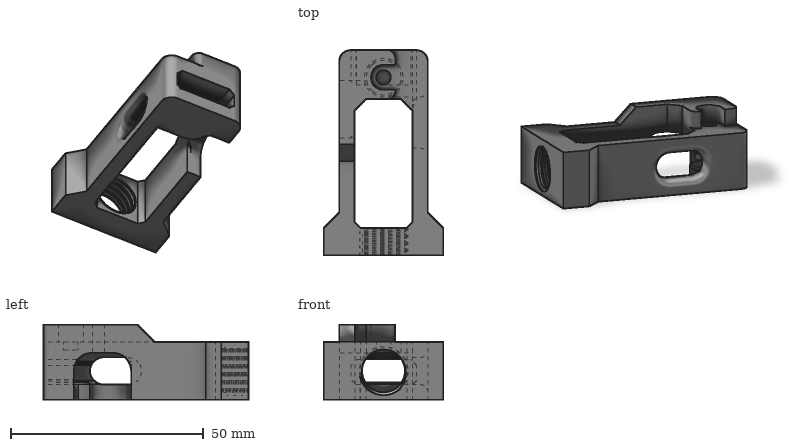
import cadquery as cq
import math

FOOT_WIDTH = 31.0
BODY_WIDTH = 23.0
LENGTH = 53.25
HEIGHT = 15.0
FOOT_DEPTH = 7.15
SIDE = BODY_WIDTH / 2
FLARE = FOOT_WIDTH / 2 - SIDE
CORNER_RADIUS = 3.0

WINDOW_WIDTH = 15.0
WINDOW_START = 7.15
WINDOW_END = 40.5
WINDOW_FAR_CHAMFER = 3.0
WINDOW_NEAR_CHAMFER = 1.5
HALF_WINDOW = WINDOW_WIDTH / 2
WALL = SIDE - HALF_WINDOW

TOP_HEIGHT = 19.5
RAMP_START = 24.35
RAMP_RISE = TOP_HEIGHT - HEIGHT
BLOCK_EDGE = 3.0
BLOCK_EDGE_RADIUS = 2.0

PIN_Y = 46.15
NOTCH_RADIUS = 3.25
PIN_RADIUS = 1.9
PIN_HOLE_DEPTH = 2.0
BOSS_RADIUS = 5.0
BOSS_CHAMFER = 0.5

TUNNEL_WIDTH = 17.0
TUNNEL_FLOOR = 4.0
TUNNEL_ROOF = 10.5
TUNNEL_LEFT_FLOOR_CHAMFER = 1.35
TUNNEL_RIGHT_FLOOR_CHAMFER = 1.0
TUNNEL_ROOF_CHAMFER = 1.5

ARCH_START = 30.5
ARCH_END = 45.35
ARCH_TOP = 12.2
ARCH_RADIUS = 4.75

LEDGE_START_X = -6.1
LEDGE_ARC_X = -4.6

SLOT_START = 27.85
SLOT_HEIGHT = 7.0
SLOT_END = PIN_Y - BOSS_RADIUS
SLOT_RIM_RADIUS = 2.0

THREAD_Z = HEIGHT / 2
THREAD_MINOR_RADIUS = 5.55
THREAD_MAJOR_RADIUS = 6.3
THREAD_PITCH = 25.4 / 14
THREAD_MOUTH = 1.1
THREAD_ROOT = 0.3
THREAD_PHASE = 85.0
THREAD_OVERLAP = 0.2


def box(x0, x1, y0, y1, z0, z1):
    """A box between two opposite corners."""
    return cq.Workplane("XY").box(x1 - x0, y1 - y0, z1 - z0, centered=False).translate((x0, y0, z0))


def rotate_to_y(shape):
    """Turn a shape built along +Z so that it runs along +Y."""
    return shape.rotate((0, 0, 0), (1, 0, 0), -90)


def frame():
    """The foot and frame, without openings, with two rounded far corners."""
    foot = FOOT_WIDTH / 2
    outline = [
        (-foot, 0),
        (foot, 0),
        (foot, FOOT_DEPTH),
        (SIDE, FOOT_DEPTH + FLARE),
        (SIDE, LENGTH),
        (-SIDE, LENGTH),
        (-SIDE, FOOT_DEPTH + FLARE),
        (-foot, FOOT_DEPTH),
    ]
    base = cq.Workplane("XY").polyline(outline).close().extrude(HEIGHT)
    return base.edges("|Z and >Y").fillet(CORNER_RADIUS)


def raised_block():
    """The block on top: a ramped wall on the -X side and a notched bar over the far end."""
    profile = [
        (RAMP_START, HEIGHT),
        (RAMP_START + RAMP_RISE, TOP_HEIGHT),
        (LENGTH, TOP_HEIGHT),
        (LENGTH, HEIGHT),
    ]
    wall = cq.Workplane("YZ", origin=(-SIDE, 0, 0)).polyline(profile).close().extrude(WALL)
    wall = wall.edges("|Z and >Y and <X").fillet(CORNER_RADIUS)
    bar = box(-SIDE + CORNER_RADIUS, BLOCK_EDGE, WINDOW_END, LENGTH, HEIGHT, TOP_HEIGHT)
    bar = bar.edges("|Z and >X").fillet(BLOCK_EDGE_RADIUS)
    corner = box(
        -HALF_WINDOW,
        -HALF_WINDOW + WINDOW_FAR_CHAMFER,
        WINDOW_END - WINDOW_FAR_CHAMFER,
        LENGTH,
        HEIGHT,
        TOP_HEIGHT,
    )
    notch = cq.Workplane("XY", origin=(0, PIN_Y, HEIGHT)).circle(NOTCH_RADIUS).extrude(RAMP_RISE)
    mouth = box(0, SIDE, PIN_Y - NOTCH_RADIUS, PIN_Y + NOTCH_RADIUS, HEIGHT, TOP_HEIGHT)
    return wall.union(bar).union(corner).cut(notch).cut(mouth)


def window():
    """Window through the full height, with a larger chamfer at the far corners."""
    near = WINDOW_NEAR_CHAMFER
    far = WINDOW_FAR_CHAMFER
    outline = [
        (-HALF_WINDOW + near, WINDOW_START),
        (HALF_WINDOW - near, WINDOW_START),
        (HALF_WINDOW, WINDOW_START + near),
        (HALF_WINDOW, WINDOW_END - far),
        (HALF_WINDOW - far, WINDOW_END),
        (-HALF_WINDOW + far, WINDOW_END),
        (-HALF_WINDOW, WINDOW_END - far),
        (-HALF_WINDOW, WINDOW_START + near),
    ]
    return cq.Workplane("XY").polyline(outline).close().extrude(TOP_HEIGHT)


def tunnel():
    """Passage along Y through the far end, running on as a groove in the +X wall."""
    half = TUNNEL_WIDTH / 2
    left = TUNNEL_LEFT_FLOOR_CHAMFER
    right = TUNNEL_RIGHT_FLOOR_CHAMFER
    high = TUNNEL_ROOF_CHAMFER
    profile = [
        (-half + left, TUNNEL_FLOOR),
        (half - right, TUNNEL_FLOOR),
        (half, TUNNEL_FLOOR + right),
        (half, TUNNEL_ROOF - high),
        (half - high, TUNNEL_ROOF),
        (-half + high, TUNNEL_ROOF),
        (-half, TUNNEL_ROOF - high),
        (-half, TUNNEL_FLOOR + left),
    ]
    passage = cq.Workplane("XZ", origin=(0, ARCH_START, 0)).polyline(profile).close()
    return passage.extrude(ARCH_START - LENGTH)


def arch():
    """Arched opening from the -X side to the inner face of the +X wall."""
    cutter = box(-SIDE, HALF_WINDOW, ARCH_START, ARCH_END, -ARCH_RADIUS, ARCH_TOP)
    return cutter.edges("|X and >Z").fillet(ARCH_RADIUS)


def ledge():
    """The part of the far end below the tunnel floor that stands out into the arch."""
    front = PIN_Y - BOSS_RADIUS
    arc_start = math.atan2(-math.sqrt(BOSS_RADIUS**2 - LEDGE_ARC_X**2), LEDGE_ARC_X)
    arc_end = -math.pi / 2
    start, middle, end = [
        (BOSS_RADIUS * math.cos(angle), PIN_Y + BOSS_RADIUS * math.sin(angle))
        for angle in (arc_start, (arc_start + arc_end) / 2, arc_end)
    ]
    return (
        cq.Workplane("XY")
        .moveTo(LEDGE_START_X, ARCH_END)
        .lineTo(*start)
        .threePointArc(middle, end)
        .lineTo(HALF_WINDOW, front)
        .lineTo(HALF_WINDOW, ARCH_END)
        .close()
        .extrude(TUNNEL_FLOOR)
    )


def boss():
    """Low chamfered disc on the tunnel floor under the pin hole."""
    disc = cq.Workplane("XY", origin=(0, PIN_Y, TUNNEL_FLOOR)).circle(BOSS_RADIUS)
    return disc.workplane(offset=BOSS_CHAMFER).circle(BOSS_RADIUS - BOSS_CHAMFER).loft(ruled=True)


def slot():
    """Round-ended slot through the +X wall, widened by a convex rounded rim at the outside."""
    length = SLOT_END - SLOT_START
    center = (SIDE, (SLOT_START + SLOT_END) / 2, TUNNEL_FLOOR + SLOT_HEIGHT / 2)
    hole = cq.Workplane("YZ", origin=center).slot2D(length, SLOT_HEIGHT).extrude(-WALL)
    block = cq.Workplane("YZ", origin=center).rect(2 * length, 2 * SLOT_HEIGHT).extrude(-WALL)
    rim = block.cut(hole).faces(">X").edges("%CIRCLE").fillet(SLOT_RIM_RADIUS)
    return block.cut(rim)


def pin_hole():
    """Blind hole down into the notch floor."""
    return cq.Workplane("XY", origin=(0, PIN_Y, HEIGHT)).circle(PIN_RADIUS).extrude(-PIN_HOLE_DEPTH)


THREAD_MARGIN = 2 * THREAD_PITCH
THREAD_SPAN = FOOT_DEPTH + 2 * THREAD_MARGIN


def thread_groove():
    """Right-handed helical groove, made to reach inside the wall of the hole."""
    flank = (THREAD_MOUTH - THREAD_ROOT) / (THREAD_MAJOR_RADIUS - THREAD_MINOR_RADIUS)
    half_mouth = (THREAD_MOUTH + flank * THREAD_OVERLAP) / 2
    inner = THREAD_MINOR_RADIUS - THREAD_OVERLAP
    profile = [
        (inner, -half_mouth),
        (THREAD_MAJOR_RADIUS, -THREAD_ROOT / 2),
        (THREAD_MAJOR_RADIUS, THREAD_ROOT / 2),
        (inner, half_mouth),
    ]
    helix = cq.Wire.makeHelix(THREAD_PITCH, THREAD_SPAN, THREAD_MINOR_RADIUS)
    groove = cq.Workplane("XZ").polyline(profile).close().sweep(cq.Workplane(helix), isFrenet=True)
    groove = groove.rotate((0, 0, 0), (0, 0, 1), THREAD_PHASE)
    return rotate_to_y(groove).translate((0, -THREAD_MARGIN, THREAD_Z))


def thread_hole():
    """Plain hole at the thread's inner radius."""
    hole = cq.Workplane("XZ", origin=(0, -THREAD_MARGIN, THREAD_Z)).circle(THREAD_MINOR_RADIUS)
    return hole.extrude(-THREAD_SPAN)


result = (
    frame()
    .union(raised_block())
    .cut(window())
    .cut(arch().cut(ledge()).cut(boss()))
    .cut(tunnel().cut(boss()))
    .cut(slot())
    .cut(pin_hole())
    .cut(thread_groove())
    .cut(thread_hole())
)